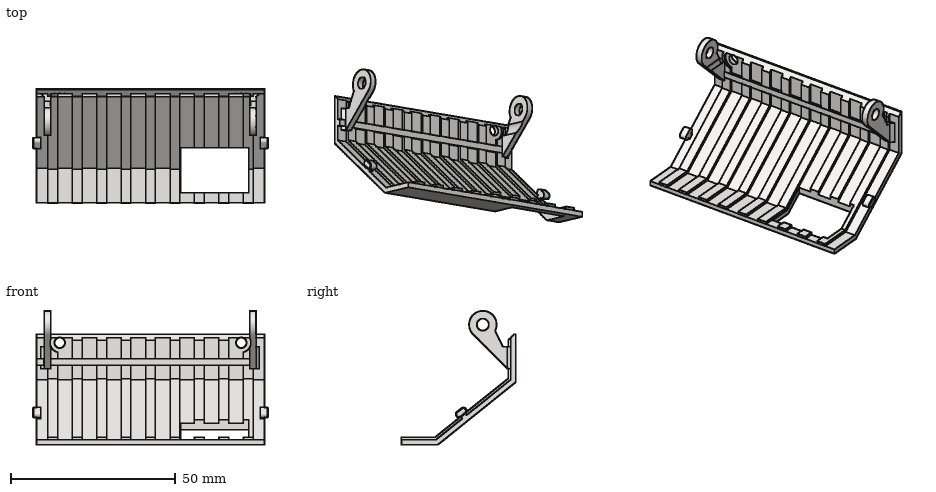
import cadquery as cq
import math



overall_length = 71.7

panel_length = 69.55
panel_depth = 34.9
panel_height = 33.8
sheet_thickness = 1.6
slope_top_z = 19.1
slope_bottom_depth = 23.7
bevel_land = 0.4

rib_height = 0.8
rib_width = 3.0
rib_pitch = 7.45
rib_count = 9
rib_overhang = 0.1

bar_width = 2.0
bar_centre_z = 25.3
bar_rise = 0.1

window_left_x = 9.25
window_right_x = 29.9
window_back_depth = 18.1
window_front_depth = 31.75

screw_x = 27.7
screw_z = 31.1
screw_radius = 1.6
screw_head_radius = 2.95

lug_width = 2.0
lug_centres_x = (-31.4, 31.2)
lug_radius = 4.2
lug_hole_radius = 1.8
lug_eye_depth = 10.05
lug_eye_z = 36.65
lug_shoulder_depth = 3.9
lug_shoulder_z = 29.9
lug_neck_depth = 6.25
lug_neck_z = 34.6
foot_size = 1.0

peg_length = 2.45
peg_long_side = 3.7
peg_thickness = 2.0
peg_chamfer = 0.2
peg_depth = 16.6
pedestal_height = 0.65
pedestal_root = 0.35

slope_angle = math.atan2(slope_top_z, slope_bottom_depth)
rib_top = sheet_thickness + rib_height
foot_top = sheet_thickness + foot_size
floor_depth = panel_depth - rib_overhang

tangent_offset = lug_radius * math.sin(math.radians(45))
tangent_depth = lug_eye_depth + tangent_offset
tangent_z = lug_eye_z - tangent_offset
lug_root_z = tangent_z - (tangent_depth - foot_top)

bar_left_x = -panel_length / 2
bar_right_x = lug_centres_x[1] - lug_width / 2

peg_centre_x = (overall_length - peg_length) / 2
peg_seat = sheet_thickness + pedestal_height
peg_centre_height = peg_seat + peg_thickness / 2
pedestal_length = peg_long_side - peg_thickness
pedestal_width = panel_length / 2 - (overall_length / 2 - peg_length)


def extrude_along_x(outline, centre_x, width):
    """Extrude a closed outline drawn on the YZ plane, centred on centre_x."""
    return outline.extrude(width / 2, both=True).translate((centre_x, 0, 0))


def block(left_x, right_x, back_depth, front_depth, bottom_z, top_z):
    """Axis-aligned box given by its limits."""
    box = cq.Workplane("XY").box(
        right_x - left_x, front_depth - back_depth, top_z - bottom_z, centered=False
    )
    return box.translate((left_x, -front_depth, bottom_z))


def cylinder_along_y(x, z, radius, back_depth, front_depth):
    """Cylinder that runs forward from back_depth to front_depth."""
    base = cq.Workplane("XZ").workplane(offset=back_depth).center(x, z).circle(radius)
    return base.extrude(front_depth - back_depth)


def slope_plane(centre_x):
    """Workplane across X below the peg: its x runs down the slope, its y out of the slope."""
    origin_depth = peg_depth - peg_centre_height * math.sin(slope_angle)
    origin_z = slope_top_z - origin_depth * math.tan(slope_angle)
    return cq.Plane(
        origin=(centre_x, -origin_depth, origin_z),
        xDir=(0, -math.cos(slope_angle), -math.sin(slope_angle)),
        normal=(-1, 0, 0),
    )


def inner_path(thickness, front_depth):
    """Points of the inner face from the bevel down to the front edge, at a given thickness."""
    wall_corner_z = slope_top_z + thickness * math.tan((math.pi / 2 - slope_angle) / 2)
    floor_corner_depth = slope_bottom_depth + thickness * math.tan(slope_angle / 2)
    return [
        (-thickness, panel_height - (thickness - bevel_land)),
        (-thickness, wall_corner_z),
        (-floor_corner_depth, thickness),
        (-front_depth, thickness),
    ]


def make_sheet():
    outer_path = [
        (-floor_depth, 0),
        (-slope_bottom_depth, 0),
        (0, slope_top_z),
        (0, panel_height),
        (-bevel_land, panel_height),
    ]
    outline = cq.Workplane("YZ").polyline(inner_path(sheet_thickness, floor_depth) + outer_path).close()
    return extrude_along_x(outline, 0, panel_length)


def make_rib(centre_x):
    outer_face = inner_path(rib_top, panel_depth)
    seat = inner_path(sheet_thickness, panel_depth)
    outline = cq.Workplane("YZ").polyline(outer_face + seat[::-1]).close()
    return extrude_along_x(outline, centre_x, rib_width)


def make_bar():
    return block(
        bar_left_x, bar_right_x,
        sheet_thickness, rib_top + bar_rise,
        bar_centre_z - bar_width / 2, bar_centre_z + bar_width / 2,
    )


def make_lug(centre_x):
    arm_outline = (
        cq.Workplane("YZ")
        .moveTo(-sheet_thickness, lug_root_z)
        .lineTo(-foot_top, lug_root_z)
        .lineTo(-tangent_depth, tangent_z)
        .lineTo(-lug_eye_depth, lug_eye_z)
        .lineTo(-lug_neck_depth, lug_neck_z)
        .lineTo(-lug_shoulder_depth, lug_shoulder_z)
        .lineTo(-sheet_thickness, lug_shoulder_z)
        .close()
    )
    eye_centre = cq.Workplane("YZ").center(-lug_eye_depth, lug_eye_z)
    arm = extrude_along_x(arm_outline, centre_x, lug_width)
    eye = extrude_along_x(eye_centre.circle(lug_radius), centre_x, lug_width)
    hole = extrude_along_x(eye_centre.circle(lug_hole_radius), centre_x, lug_width)
    return arm.union(eye).union(make_foot(centre_x)).cut(hole)


def make_foot(centre_x):
    """Triangular flare between the wall and the outer side of a lug."""
    side = math.copysign(1, centre_x)
    lug_side_x = centre_x + side * lug_width / 2
    outline = (
        cq.Workplane("XY")
        .workplane(offset=lug_root_z)
        .moveTo(lug_side_x, -sheet_thickness)
        .lineTo(lug_side_x, -foot_top)
        .lineTo(lug_side_x + side * foot_size, -sheet_thickness)
        .close()
    )
    return outline.extrude(lug_shoulder_z - lug_root_z)


def make_pedestal(side):
    height = pedestal_height + pedestal_root
    return (
        cq.Workplane(slope_plane(side * (panel_length - pedestal_width) / 2))
        .center(0, peg_seat - height / 2)
        .rect(pedestal_length, height)
        .extrude(pedestal_width / 2, both=True)
    )


def make_peg(side):
    return (
        cq.Workplane(slope_plane(side * peg_centre_x))
        .center(0, peg_centre_height)
        .slot2D(peg_long_side, peg_thickness)
        .extrude(peg_length / 2, both=True)
        .faces(">X" if side > 0 else "<X")
        .chamfer(peg_chamfer)
    )


def make_window():
    return block(
        window_left_x, window_right_x, window_back_depth, window_front_depth, 0, slope_top_z
    )


def make_screw_hole(side):
    """Screw hole through the wall, widened in front of it through rib and lug for the head."""
    lug_front_depth = lug_eye_depth + lug_radius
    hole = cylinder_along_y(side * screw_x, screw_z, screw_radius, 0, sheet_thickness)
    head = cylinder_along_y(
        side * screw_x, screw_z, screw_head_radius, sheet_thickness, lug_front_depth
    )
    return hole.union(head)


panel = make_sheet().union(make_bar())
for index in range(rib_count):
    rib_x = (index - (rib_count - 1) / 2) * rib_pitch
    panel = panel.union(make_rib(rib_x))
for lug_x in lug_centres_x:
    panel = panel.union(make_lug(lug_x))
for side in (-1, 1):
    panel = panel.union(make_pedestal(side)).union(make_peg(side))
    panel = panel.cut(make_screw_hole(side))
panel = panel.cut(make_window())

result = cq.Compound.makeCompound([panel.solids().val()])